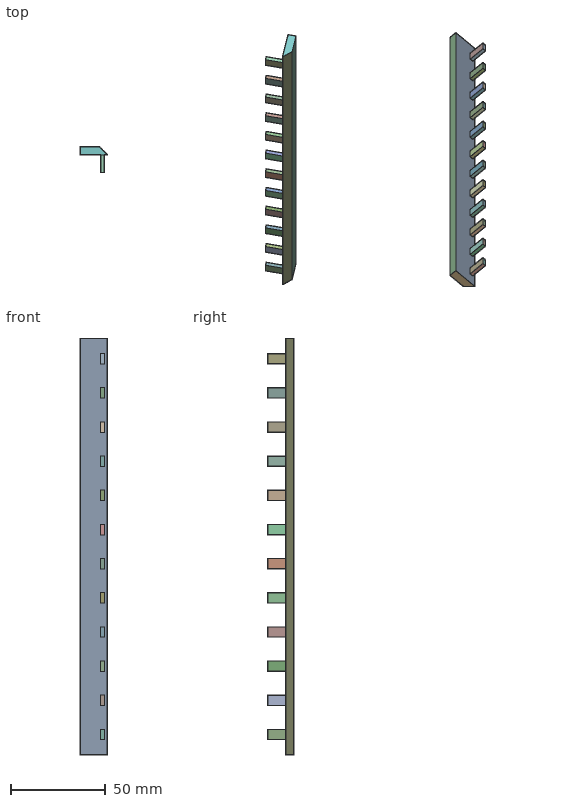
import cadquery as cq

bar_length = 220.0
bar_width = 14.3
bar_thickness = 4.5
lip_thickness = 0.2
bevel = bar_thickness - lip_thickness

prong_count = 12
prong_pitch = 18.0
prong_width = 2.0
prong_height = 5.5
prong_length = 9.5
prong_edge_gap = 1.5


def make_bar():
    """Extrude the bevelled cross-section, front face on Y = 0."""
    outline = [
        (0, 0),
        (bar_width, 0),
        (bar_width, lip_thickness),
        (bar_width - bevel, bar_thickness),
        (0, bar_thickness),
    ]
    return cq.Workplane("XY").polyline(outline).close().extrude(bar_length)


def make_prongs():
    """Row of equally spaced prongs, centred along the bar."""
    prong_x = bar_width - prong_edge_gap - prong_width / 2
    return (
        cq.Workplane("XZ", origin=(prong_x, 0, bar_length / 2))
        .rarray(2.2, prong_pitch, 1, prong_count)
        .rect(prong_width, prong_height)
        .extrude(prong_length)
    )


result = make_bar().union(make_prongs())